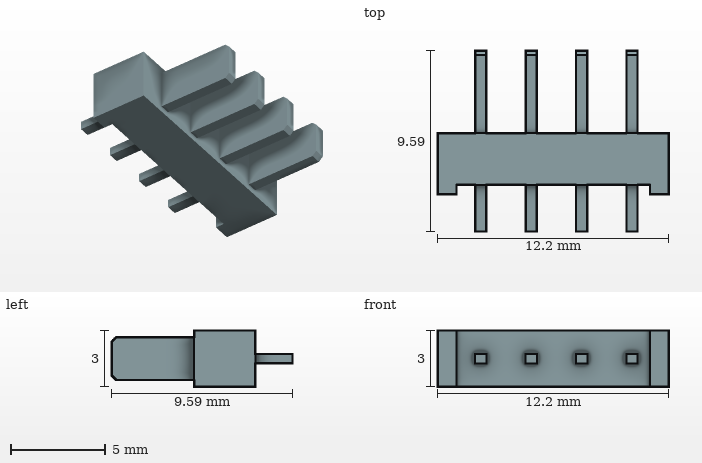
import cadquery as cq

housing_length = 12.25
housing_depth = 3.25
housing_height = 3.0
end_wall = 1.0
recess_depth = 0.5

total_depth = 9.59
contact_count = 4
contact_pitch = 2.67
contact_row_offset = 0.17
contact_width = 0.6
blade_length = 4.37
blade_height = 2.28
blade_chamfer = 0.25
pin_height = 0.5
pin_length = total_depth - blade_length - housing_depth + recess_depth

recess_floor_y = recess_depth - housing_depth


def box_along_y(length, depth, height, front_y):
    """Box centred on X and Z that runs towards +Y from front_y."""
    return cq.Workplane("XY").box(length, depth, height, centered=(True, False, True)).translate((0, front_y, 0))


def make_housing():
    """Block with a recess across the front, open at top and bottom."""
    block = box_along_y(housing_length, housing_depth, housing_height, -housing_depth)
    recess_length = housing_length - 2 * end_wall
    recess = box_along_y(recess_length, recess_depth, housing_height, -housing_depth)
    return block.cut(recess)


def make_contact():
    """Blade with chamfered top and bottom rear edges, plus its front pin."""
    blade = box_along_y(contact_width, blade_length, blade_height, 0)
    blade = blade.faces(">Y").edges("|X").chamfer(blade_chamfer)
    pin = box_along_y(contact_width, pin_length, pin_height, recess_floor_y - pin_length)
    return blade, pin


result = make_housing()
blade, pin = make_contact()
for index in range(contact_count):
    contact_x = contact_row_offset + (index - (contact_count - 1) / 2) * contact_pitch
    result = result.union(blade.translate((contact_x, 0, 0)))
    result = result.union(pin.translate((contact_x, 0, 0)))